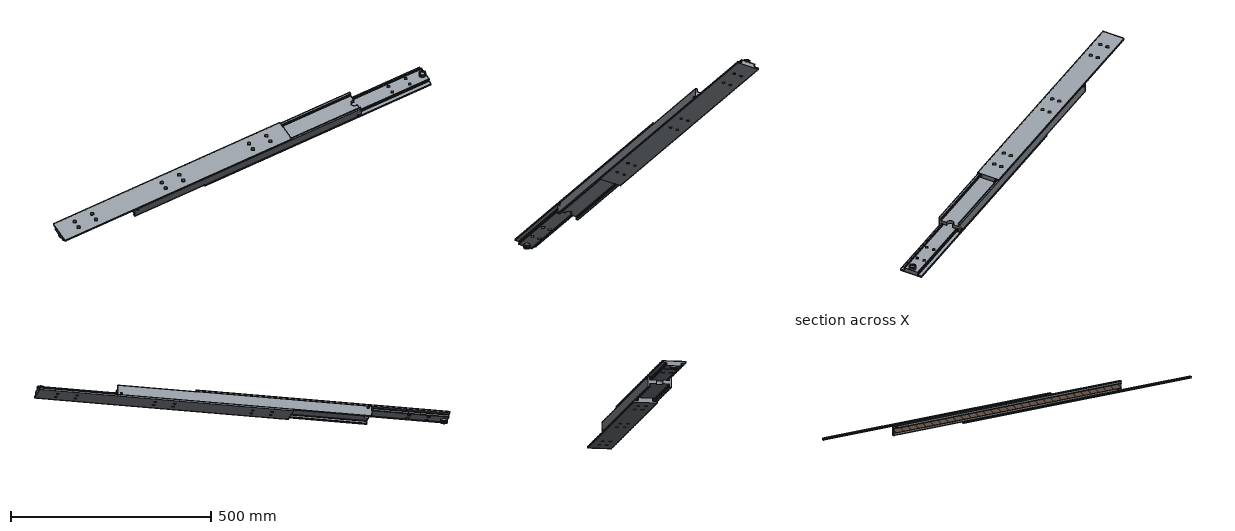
import cadquery as cq

slide_width = 60.0
slide_height = 34.0
member_length = 650.0
extension = 200.0

wall_thickness = 6.0
wall_height = 25.0
web_thickness = 9.0
notch_diameter = 18.0
notch_depth = 12.5
wall_hole_diameter = 5.0
wall_hole_inset = 9.0

plate_thickness = 4.0
block_width = 41.0
block_clearance = 0.5

groove_width = 5.0
block_groove_depth = 2.5
wall_groove_depth = 1.0

pin_diameter = 17.0
pin_top_z = 2.0
recess_arm_width = 7.0
recess_length = 13.0
recess_depth = 3.0

lower_hole_diameter = 6.5
upper_hole_diameter = 8.5
hole_pair_spacing = 20.0
hole_distances = (50.0, 100.0, 300.0, 350.0, 550.0, 600.0)

base_z = -slide_height / 2
plate_top_z = base_z + plate_thickness
block_top_z = -web_thickness / 2 - block_clearance
groove_z = (plate_top_z + block_top_z) / 2
half_length = member_length / 2
rail_end_y = extension + half_length
pin_y = rail_end_y - pin_diameter / 2
channel_width = slide_width - 2 * wall_thickness
channel_depth = (wall_height - web_thickness) / 2


def bar(width, bottom_z, top_z, center_x=0, center_y=0):
    """Rectangular bar along the full length of a member."""
    height = top_z - bottom_z
    center = (center_x, center_y, (bottom_z + top_z) / 2)
    return cq.Workplane("XY").box(width, member_length, height).translate(center)


def groove(depth, center_x, center_y, center_z):
    """Cutter centred on a side face, which it enters by the given depth."""
    bottom_z = center_z - groove_width / 2
    return bar(2 * depth, bottom_z, bottom_z + groove_width, center_x, center_y)


def make_stop_pin():
    pin = (
        cq.Workplane("XY", origin=(0, pin_y, block_top_z))
        .circle(pin_diameter / 2)
        .extrude(pin_top_z - block_top_z)
    )
    recess = (
        cq.Workplane("XY", origin=(0, pin_y, pin_top_z - recess_depth))
        .rect(recess_length, recess_arm_width)
        .extrude(recess_depth)
        .union(
            cq.Workplane("XY", origin=(0, pin_y, pin_top_z - recess_depth))
            .rect(recess_arm_width, recess_length)
            .extrude(recess_depth)
        )
    )
    return pin.cut(recess)


def make_mounting_holes(diameter):
    centers = [
        (side * hole_pair_spacing / 2, rail_end_y - distance)
        for distance in hole_distances
        for side in (-1, 1)
    ]
    return (
        cq.Workplane("XY", origin=(0, 0, base_z))
        .pushPoints(centers)
        .circle(diameter / 2)
        .extrude(block_top_z - base_z)
    )


def make_rail(hole_diameter):
    """Rail in the lower place, with its stop pin at the +Y end."""
    rail = bar(slide_width, base_z, plate_top_z, center_y=extension)
    rail = rail.union(bar(block_width, plate_top_z, block_top_z, center_y=extension))
    for side in (-1, 1):
        rail = rail.cut(groove(block_groove_depth, side * block_width / 2, extension, groove_z))
    rail = rail.union(make_stop_pin())
    return rail.cut(make_mounting_holes(hole_diameter))


def make_web_notch(end):
    """Round notch in the web end that clears the stop pin."""
    center_y = end * (half_length - notch_depth + notch_diameter / 2)
    return (
        cq.Workplane("XY", origin=(0, center_y, -web_thickness / 2))
        .circle(notch_diameter / 2)
        .extrude(web_thickness)
    )


def make_wall_holes(end):
    """Holes across both walls: at the lower grooves near +Y, at the upper ones near -Y."""
    return (
        cq.Workplane("YZ", origin=(-slide_width / 2, end * (half_length - wall_hole_inset), end * groove_z))
        .circle(wall_hole_diameter / 2)
        .extrude(slide_width)
    )


def make_middle_member():
    member = bar(slide_width, -wall_height / 2, wall_height / 2)
    member = member.cut(bar(channel_width, wall_height / 2 - channel_depth, wall_height / 2))
    member = member.cut(bar(channel_width, -wall_height / 2, -wall_height / 2 + channel_depth))
    for side in (-1, 1):
        for level in (-1, 1):
            member = member.cut(groove(wall_groove_depth, side * channel_width / 2, 0, level * groove_z))
    for end in (-1, 1):
        member = member.cut(make_web_notch(end))
        member = member.cut(make_wall_holes(end))
    return member


lower_rail = make_rail(lower_hole_diameter)
middle_member = make_middle_member()
upper_rail = make_rail(upper_hole_diameter).rotate((0, 0, 0), (1, 0, 0), 180)

result = cq.Compound.makeCompound([lower_rail.val(), middle_member.val(), upper_rail.val()])